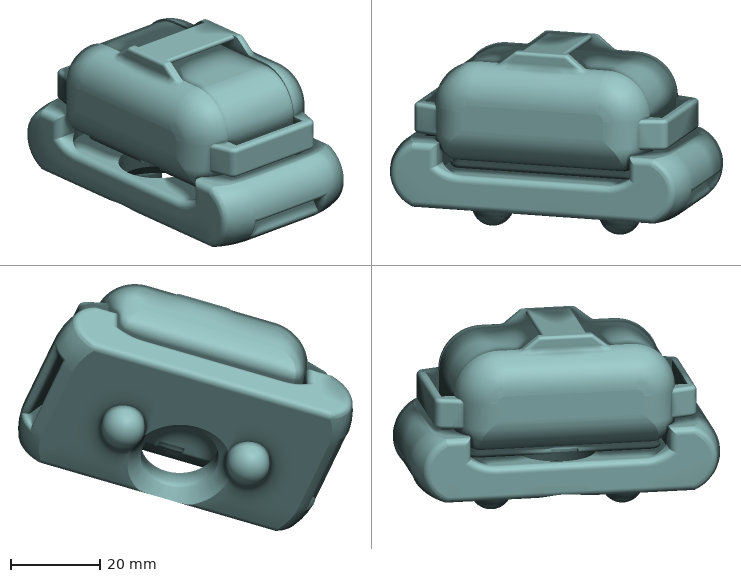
import cadquery as cq
import math


BASE_LENGTH = 70.5
BASE_DEPTH = 36.6
BASE_HEIGHT = 14.9
END_BULGE_RADIUS = 8.25
END_PLAN_RADIUS = 18.3
END_FLAT_HALF = 9.45
BASE_FILLET = 1.55

FLOOR_Z = 7.95
NOTCH_HALF = 22.6
NOTCH_FLAT_HALF = 16.9
NOTCH_SHOULDER_Z = 9.9
FLOOR_POCKET_LENGTH = 47.1
FLOOR_POCKET_DEPTH = 33.0
FLOOR_POCKET_HEIGHT = 4.9
FLOOR_POCKET_CORNER = 6.9
POCKET_CLEARANCE = 0.2

HOLE_X = -1.35
HOLE_Y = -7.25
HOLE_RADIUS = 8.75
HOLE_CHAMFER = 2.95

STRAP_WIDTH = 20.0
STRAP_RECESS_TOP = 0.55
STRAP_RECESS_END = 0.2
STRAP_SLOT_TOP_INNER = 24.75
STRAP_SLOT_TOP_OUTER = 27.9
STRAP_SLOT_SLOPE = 1.5
STRAP_SLOT_FILLET = 1.0
STRAP_SLOT_MOUTH_X = 30.3

HOUSING_LENGTH = 50.2
HOUSING_DEPTH = 35.95
HOUSING_TOP = 32.8
HOUSING_BOTTOM = 10.0
HOUSING_END_RADIUS = 10.0
HOUSING_SIDE_RADIUS = 8.45
HOUSING_FOOT_RADIUS = 6.5

LOOP_REACH = 29.8
LOOP_BOTTOM = 15.8
LOOP_TOP = 22.8
LOOP_BAR = 1.75
LOOP_CORNER_HALF = 12.25
LOOP_ROOT_HALF = 14.25
LOOP_ROOT_X = 23.25
LOOP_CORNER_FILLET = 1.8
LOOP_EDGE_FILLET = 0.9

HANDLE_TOP = BASE_HEIGHT + 21.1
HANDLE_TOP_HALF = 6.05
HANDLE_FOOT_HALF = 10.0
HANDLE_ROOT_Z = 30.3
HANDLE_HALF_DEPTH = 12.0
HANDLE_BEND_RADIUS = 1.05
HANDLE_FILLET = 0.8
HANDLE_ROOT_FILLET = 1.55
HANDLE_ROOT_REACH = 12.0
HANDLE_ROOT_SINK = 0.7
HANDLE_PLATE = 1.2
HANDLE_PLATE_HALF = 5.1
HANDLE_PLATE_FILLET = 0.55

LID_LENGTH = 44.4
LID_DEPTH = 21.15
LID_CORNER_RADIUS = 2.6
LID_FOOT_HEIGHT = 1.35
LID_FULL_HEIGHT = 3.5
LID_STEP = 0.35
LID_FILLET = 0.9
LID_PORT_WIDTH = 6.2
LID_PORT_HEIGHT = 1.2
LID_PORT_DEPTH = 2.1

PIN_SPACING = 29.9
PIN_DIAMETER = 9.6
PIN_LENGTH = 7.0

SELECT_MARGIN = 0.1


def block(length, depth, bottom, top):
    """Box centred on the Z axis between two heights."""
    centre = cq.Workplane("XY").workplane(offset=bottom)
    return centre.rect(length, depth).extrude(top - bottom)


def on_side(part, side):
    """Part made for the +X end, mirrored when side is -1."""
    return part if side > 0 else part.mirror("YZ")


def housing_blank(grow=0.0):
    """Rounded case without loops or handle; grow moves every face outwards."""
    length = HOUSING_LENGTH + 2 * grow
    depth = HOUSING_DEPTH + 2 * grow
    top = HOUSING_TOP + grow
    bottom = HOUSING_BOTTOM - grow
    side_radius = HOUSING_SIDE_RADIUS + grow
    body = block(length, depth, bottom, top)
    body = body.edges("|Y and >Z").fillet(HOUSING_END_RADIUS + grow)
    body = body.edges("(<Y or >Y) and (not <Z)").fillet(side_radius)
    body = body.faces("<Z").edges().fillet(HOUSING_FOOT_RADIUS + grow)
    side_trim = block(length, depth, bottom, 2 * top).edges("|X and <Z").fillet(side_radius)
    return body.intersect(side_trim)


def strap_recess():
    """Band over the top and ends of the housing, open upwards to clear the handle."""
    core_length = HOUSING_LENGTH - 2 * STRAP_RECESS_END
    core_top = HOUSING_TOP - STRAP_RECESS_TOP
    core_radius = HOUSING_END_RADIUS - STRAP_RECESS_TOP
    band = block(HOUSING_LENGTH, STRAP_WIDTH, 0, HANDLE_TOP)
    core = block(core_length, HOUSING_DEPTH, 0, core_top).edges("|Y and >Z").fillet(core_radius)
    return band.cut(core)


def strap_loop():
    """Three-sided loop that guides the strap past the +X end of the housing."""
    outline = [
        (LOOP_ROOT_X, LOOP_ROOT_HALF),
        (LOOP_REACH, LOOP_CORNER_HALF),
        (LOOP_REACH, -LOOP_CORNER_HALF),
        (LOOP_ROOT_X, -LOOP_ROOT_HALF),
    ]
    loop = (
        cq.Workplane("XY").workplane(offset=LOOP_BOTTOM)
        .polyline(outline).close().extrude(LOOP_TOP - LOOP_BOTTOM)
        .edges("|Z and >X").fillet(LOOP_CORNER_FILLET)
        .faces(">Z or <Z").edges("not <X").fillet(LOOP_EDGE_FILLET)
    )
    opening = block(2 * (LOOP_REACH - LOOP_BAR), STRAP_WIDTH, 0, HOUSING_TOP)
    return loop.cut(opening)


def handle_block():
    """Sloped block that the strap recess later splits into two side walls."""
    slope = (HANDLE_FOOT_HALF - HANDLE_TOP_HALF) / (HANDLE_TOP - HOUSING_TOP)
    root_half = HANDLE_TOP_HALF + slope * (HANDLE_TOP - HANDLE_ROOT_Z)
    outline = [
        (HANDLE_TOP_HALF, HANDLE_TOP),
        (root_half, HANDLE_ROOT_Z),
        (-root_half, HANDLE_ROOT_Z),
        (-HANDLE_TOP_HALF, HANDLE_TOP),
    ]
    walls = cq.Workplane("XZ").polyline(outline).close().extrude(HANDLE_HALF_DEPTH, both=True)
    walls = walls.edges("|Y and >Z").fillet(HANDLE_BEND_RADIUS)
    return walls.faces("<Y or >Y").edges("not <Z").fillet(HANDLE_FILLET)


def round_handle_root(body):
    """Blend the outside of the handle walls into the housing."""
    half_depth = HANDLE_HALF_DEPTH + SELECT_MARGIN
    joint = cq.selectors.BoxSelector(
        (-HANDLE_ROOT_REACH, -half_depth, HOUSING_TOP - HANDLE_ROOT_SINK),
        (HANDLE_ROOT_REACH, half_depth, HOUSING_TOP + SELECT_MARGIN),
    )
    return body.edges(joint).fillet(HANDLE_ROOT_FILLET)


def handle_plate():
    """Round-edged plate that joins the handle walls over the strap."""
    plate = block(2 * HANDLE_PLATE_HALF, STRAP_WIDTH, HANDLE_TOP - HANDLE_PLATE, HANDLE_TOP)
    return plate.edges("|Y").fillet(HANDLE_PLATE_FILLET)


def make_housing():
    body = round_handle_root(housing_blank().union(handle_block()))
    for side in (-1, 1):
        body = body.union(on_side(strap_loop(), side))
    return body.cut(strap_recess()).union(handle_plate())


def end_section(reach):
    """Half outline of the base, from x = 0 out to a bulged end at x = reach."""
    middle = BASE_HEIGHT / 2
    bulge = END_BULGE_RADIUS - math.sqrt(END_BULGE_RADIUS**2 - middle**2)
    return (
        cq.Workplane("XZ")
        .lineTo(reach - bulge, 0)
        .threePointArc((reach, middle), (reach - bulge, BASE_HEIGHT))
        .lineTo(0, BASE_HEIGHT)
        .close()
    )


def base_blank():
    """Slab with bulged ends that curve back towards the front and rear faces."""
    turn_x = BASE_LENGTH / 2 - END_PLAN_RADIUS
    middle_end = end_section(BASE_LENGTH / 2).extrude(END_FLAT_HALF, both=True)
    corner = (
        end_section(END_PLAN_RADIUS).revolve(90, (0, 0), (0, 1))
        .translate((turn_x, END_FLAT_HALF, 0))
    )
    end = middle_end.union(corner).union(corner.mirror("XZ"))
    blank = block(2 * turn_x, BASE_DEPTH, 0, BASE_HEIGHT)
    for side in (-1, 1):
        blank = blank.union(on_side(end, side))
    return blank.intersect(block(2 * BASE_LENGTH, BASE_DEPTH, -BASE_HEIGHT, 2 * BASE_HEIGHT))


def notch():
    """Channel along Y whose floor curves up to meet its side walls."""
    run = NOTCH_HALF - NOTCH_FLAT_HALF
    rise = NOTCH_SHOULDER_Z - FLOOR_Z
    radius = (run**2 + rise**2) / (2 * rise)
    half_angle = math.atan2(rise, run)
    mid_x = NOTCH_FLAT_HALF + radius * math.sin(half_angle)
    mid_z = FLOOR_Z + radius * (1 - math.cos(half_angle))
    open_top = 2 * BASE_HEIGHT
    return (
        cq.Workplane("XZ")
        .moveTo(-NOTCH_FLAT_HALF, FLOOR_Z)
        .lineTo(NOTCH_FLAT_HALF, FLOOR_Z)
        .threePointArc((mid_x, mid_z), (NOTCH_HALF, NOTCH_SHOULDER_Z))
        .lineTo(NOTCH_HALF, open_top)
        .lineTo(-NOTCH_HALF, open_top)
        .lineTo(-NOTCH_HALF, NOTCH_SHOULDER_Z)
        .threePointArc((-mid_x, mid_z), (-NOTCH_FLAT_HALF, FLOOR_Z))
        .close()
        .extrude(BASE_DEPTH, both=True)
    )


def floor_pocket():
    """Round-cornered recess with a flat floor, below the housing."""
    pocket = block(FLOOR_POCKET_LENGTH, FLOOR_POCKET_DEPTH, FLOOR_Z, FLOOR_Z + FLOOR_POCKET_HEIGHT)
    return pocket.edges("|Z").fillet(FLOOR_POCKET_CORNER)


def strap_slot():
    """Sloped slot from the top of the base out through the lower part of the +X end."""
    run = BASE_HEIGHT / STRAP_SLOT_SLOPE
    outline = [
        (STRAP_SLOT_TOP_INNER, BASE_HEIGHT),
        (STRAP_SLOT_TOP_OUTER, BASE_HEIGHT),
        (STRAP_SLOT_TOP_OUTER + run, 0),
        (STRAP_SLOT_TOP_INNER + run, 0),
    ]
    return cq.Workplane("XZ").polyline(outline).close().extrude(STRAP_WIDTH / 2, both=True)


def round_slot_mouth(base, side):
    """Round the rim where a strap slot leaves the bulged end."""
    half_width = STRAP_WIDTH / 2 + SELECT_MARGIN
    rim = cq.selectors.BoxSelector(
        (side * STRAP_SLOT_MOUTH_X, -half_width, SELECT_MARGIN),
        (side * BASE_LENGTH / 2, half_width, BASE_HEIGHT / 2),
    )
    return base.edges(rim).fillet(STRAP_SLOT_FILLET)


def floor_hole():
    """Round hole through the floor with a wide chamfer on the underside."""
    hole = cq.Workplane("XY").circle(HOLE_RADIUS).extrude(FLOOR_Z)
    mouth = cq.Solid.makeCone(HOLE_RADIUS + HOLE_CHAMFER, HOLE_RADIUS, HOLE_CHAMFER)
    return hole.union(cq.Workplane(mouth)).translate((HOLE_X, HOLE_Y, 0))


def make_base():
    base = base_blank().cut(notch())
    base = base.faces("<Y or >Y").edges().fillet(BASE_FILLET)
    base = base.cut(housing_blank(POCKET_CLEARANCE)).cut(floor_pocket())
    for side in (-1, 1):
        base = round_slot_mouth(base.cut(on_side(strap_slot(), side)), side)
    return base.cut(floor_hole())


def make_lid():
    """Stepped plate between the floor of the base and the underside of the housing."""
    step_z = FLOOR_Z + LID_FOOT_HEIGHT
    inset = 2 * LID_STEP
    foot = (
        block(LID_LENGTH, LID_DEPTH, FLOOR_Z, step_z)
        .edges("|Z").fillet(LID_CORNER_RADIUS)
        .faces("<Z").edges().fillet(LID_FILLET)
    )
    upper = (
        block(LID_LENGTH - inset, LID_DEPTH - inset, step_z, FLOOR_Z + LID_FULL_HEIGHT)
        .edges("|Z").fillet(LID_CORNER_RADIUS - LID_STEP)
    )
    port = (
        block(LID_PORT_WIDTH, 2 * LID_PORT_DEPTH, FLOOR_Z, FLOOR_Z + LID_PORT_HEIGHT)
        .translate((0, -LID_DEPTH / 2, 0))
    )
    return foot.union(upper).cut(port).cut(housing_blank())


def make_pin(x):
    """Round-ended pin that hangs below the base."""
    radius = PIN_DIAMETER / 2
    shank_length = PIN_LENGTH - radius
    shank = cq.Workplane("XY").circle(radius).extrude(-shank_length)
    tip = cq.Workplane("XY").sphere(radius).translate((0, 0, -shank_length))
    tip = tip.intersect(block(2 * PIN_DIAMETER, 2 * PIN_DIAMETER, -2 * PIN_LENGTH, -shank_length))
    return shank.union(tip).translate((x, 0, 0))


housing = make_housing()
base = make_base()
lid = make_lid()
pins = [make_pin(side * PIN_SPACING / 2) for side in (-1, 1)]

bodies = [housing, base, lid, *pins]
result = cq.Compound.makeCompound([body.solids().val() for body in bodies])